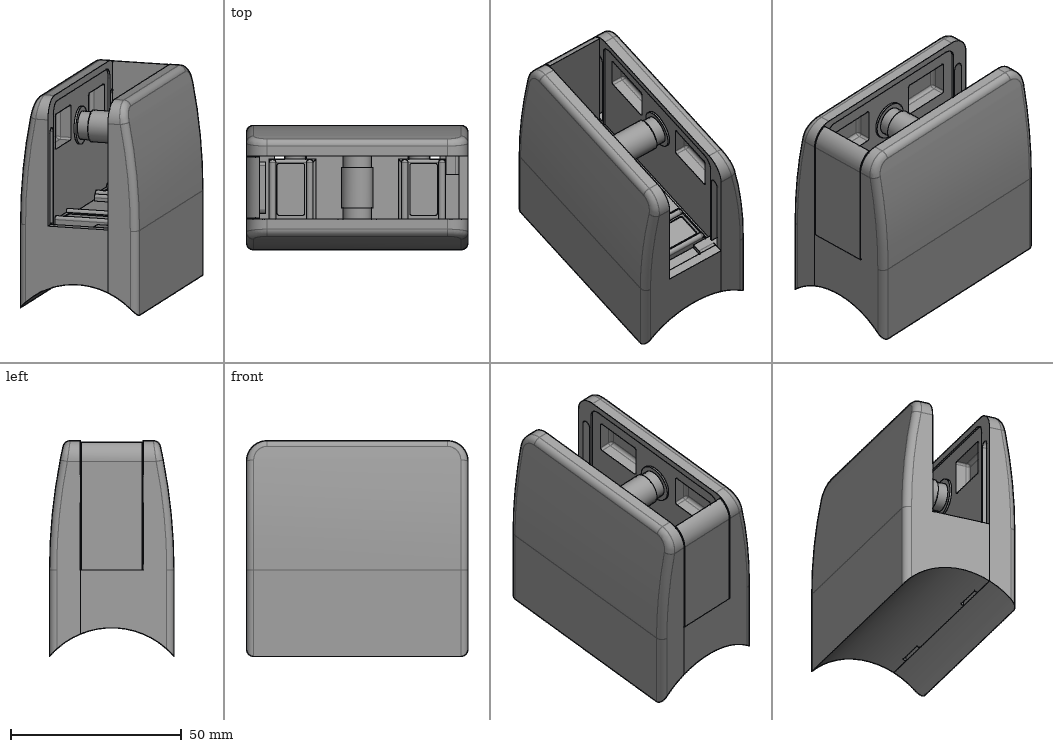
import cadquery as cq
import math

length = 65.0
depth = 36.5
height = 63.3
half_length = length / 2
half_depth = depth / 2
face_arc_start = 25.4
face_arc_radius = 166.4
top_corner_radius = 6.1
edge_fillet = 2.15
tube_radius = 24.05

channel_half_width = 9.2
floor_z = 24.1
seat_z = face_arc_start
seat_inner_x = 29.8

recess_half_length = 27.2
recess_top = 61.2
recess_depth = 0.6
recess_corner = 3.25
boss_radius = 5.6
pocket_inner_x = 8.5
pocket_outer_x = 23.6
pocket_bottom = 46.55
pocket_top = 57.0
pocket_depth = 4.2
pocket_mouth_corner = 0.65
pocket_floor_fillet = 1.05
end_slot_x = 29.1
end_slot_width = 2.8
end_slot_top = 54.2
end_slot_depth = 3.25

rod_z = 49.2
rod_radius = 4.15
rod_half_length = 12.35
sleeve_radius = 4.7
sleeve_half_length = 5.9

insert_thickness = 3.9
insert_half_width = 8.9
tongue_reach = 1.7
tongue_half_width = 7.55
tongue_height = 3.25
tongue_rounding = 1.05

pad_outer_x = 25.8
pad_inner_x = 12.1
pad_end_y = 8.3
pad_height = 1.95
pad_fillet = 1.0
bead_radius = 1.0
bead_inner_x = 13.9
bead_outer_x = pad_outer_x - bead_radius
panel_outer_x = 23.45
panel_inner_x = 15.5
panel_start_y = -8.1
panel_end_y = 7.1
panel_corner = 0.5
panel_depth = 0.3

screw_x = 18.2
screw_z = 17.55
screw_radius = 3.05
screw_base_depth = 13.0
screw_cap_depth = 3.9
notch_outer_x = 24.25
notch_inner_x = 14.95

tab_inner_x = 26.0
tab_reach = 5.3
tab_height = 1.3
tab_rounding = 1.0


def box(x_start, x_end, y_start, y_end, z_start, z_end):
    """Block between opposite corner coordinates."""
    return cq.Workplane("XY").box(
        x_end - x_start, y_end - y_start, z_end - z_start, centered=False
    ).translate((x_start, y_start, z_start))


def rod_along_y(x, z, radius, y_start, y_end):
    """Round bar parallel to Y."""
    return cq.Workplane("XZ", origin=(x, y_start, z)).circle(radius).extrude(y_start - y_end)


def clamp_outline():
    """Front outline with rounded top corners, as deep as the clamp."""
    outline = box(-half_length, half_length, -half_depth, half_depth, 0, height)
    return outline.edges("|Y and >Z").fillet(top_corner_radius)


def face_inset(z):
    """Distance that the curved outer face has moved inward at a given height."""
    rise = z - face_arc_start
    return face_arc_radius - math.sqrt(face_arc_radius ** 2 - rise ** 2)


def clamp_envelope():
    """Whole outer shape of the closed clamp, saddled on the tube."""
    middle_z = (face_arc_start + height) / 2
    middle_y = half_depth - face_inset(middle_z)
    top_y = half_depth - face_inset(height)
    side_profile = (
        cq.Workplane("YZ", origin=(-half_length, 0, 0))
        .moveTo(-half_depth, 0)
        .lineTo(half_depth, 0)
        .lineTo(half_depth, face_arc_start)
        .threePointArc((middle_y, middle_z), (top_y, height))
        .lineTo(-top_y, height)
        .threePointArc((-middle_y, middle_z), (-half_depth, face_arc_start))
        .close()
        .extrude(length)
    )
    envelope = side_profile.intersect(clamp_outline())
    envelope = envelope.faces("<Y or >Y").edges("|Z").fillet(edge_fillet)
    tube_axis_z = -math.sqrt(tube_radius ** 2 - half_depth ** 2)
    tube = (
        cq.Workplane("YZ", origin=(-half_length, 0, tube_axis_z))
        .circle(tube_radius)
        .extrude(length)
    )
    return envelope.cut(tube)


def jaw_pocket(side):
    """Rounded pocket sunk in the +Y jaw from the recess floor."""
    mouth_y = channel_half_width + recess_depth
    pocket = box(pocket_inner_x, pocket_outer_x, mouth_y, mouth_y + pocket_depth, pocket_bottom, pocket_top)
    pocket = pocket.edges("|Y").fillet(pocket_mouth_corner)
    pocket = pocket.faces(">Y").edges().fillet(pocket_floor_fillet)
    return pocket if side > 0 else pocket.mirror("YZ")


def end_slot(side):
    """Round-topped vertical slot near one end of the +Y jaw."""
    x = side * end_slot_x
    radius = end_slot_width / 2
    slot_end_y = channel_half_width + end_slot_depth
    arc_z = end_slot_top - radius
    slot = box(x - radius, x + radius, channel_half_width, slot_end_y, seat_z, arc_z)
    return slot.union(rod_along_y(x, arc_z, radius, channel_half_width, slot_end_y))


def jaw_cutters():
    """Everything removed from the inner face of the +Y jaw."""
    face_y = channel_half_width
    recess = box(-recess_half_length, recess_half_length, face_y, face_y + recess_depth, floor_z, recess_top)
    recess = recess.edges("|Y and >Z").fillet(recess_corner)
    cutters = recess.cut(rod_along_y(0, rod_z, boss_radius, face_y, face_y + recess_depth))
    for side in (-1, 1):
        cutters = cutters.union(jaw_pocket(side))
        cutters = cutters.union(end_slot(side))
    return cutters.union(rod_along_y(0, rod_z, rod_radius, face_y, rod_half_length))


def make_screw(side):
    """Assembly screw joining base and cap."""
    return rod_along_y(
        side * screw_x, screw_z, screw_radius,
        channel_half_width - screw_base_depth, channel_half_width + screw_cap_depth,
    )


def make_base(envelope):
    """Front jaw and channel floor in one piece."""
    split_y = channel_half_width
    base = envelope.intersect(box(-half_length, half_length, -half_depth, split_y, 0, height))
    base = base.cut(box(-half_length, half_length, -split_y, split_y, seat_z, height))
    base = base.cut(box(-seat_inner_x, seat_inner_x, -split_y, split_y, floor_z, height))
    for side in (-1, 1):
        notch = box(notch_inner_x, notch_outer_x, pad_end_y, split_y, 0, floor_z)
        base = base.cut(notch if side > 0 else notch.mirror("YZ"))
        base = base.cut(make_screw(side))
    return base.cut(jaw_cutters().mirror("XZ"))


def make_cap(envelope):
    """Rear jaw with its locating tab."""
    cap = envelope.intersect(box(-half_length, half_length, channel_half_width, half_depth, 0, height))
    cap = cap.cut(jaw_cutters())
    for side in (-1, 1):
        cap = cap.cut(make_screw(side))
    tab = box(
        tab_inner_x, seat_inner_x, channel_half_width - tab_reach,
        channel_half_width + recess_depth, floor_z, floor_z + tab_height,
    )
    return cap.union(tab.edges("|Y and >X and >Z").fillet(tab_rounding))


def make_insert():
    """Side wall closing the -X end, flush with the jaws, with an inner tongue."""
    inner_x = insert_thickness - half_length
    wall = clamp_outline().intersect(
        box(-half_length, inner_x, -insert_half_width, insert_half_width, seat_z, height)
    )
    tongue = box(
        inner_x, inner_x + tongue_reach, -tongue_half_width, tongue_half_width,
        seat_z, seat_z + tongue_height,
    )
    return wall.union(tongue.edges("|X and >Z").fillet(tongue_rounding))


def make_rod():
    """Clamp rod spanning the channel and seated in both jaws."""
    return rod_along_y(0, rod_z, rod_radius, -rod_half_length, rod_half_length)


def make_sleeve():
    """Sleeve around the middle of the clamp rod."""
    sleeve = rod_along_y(0, rod_z, sleeve_radius, -sleeve_half_length, sleeve_half_length)
    return sleeve.cut(make_rod())


def make_pad(side):
    """Support pad with two half-round, ball-ended beads and a shallow panel between them."""
    pad_top = floor_z + pad_height
    pad = box(pad_inner_x, pad_outer_x, -channel_half_width, pad_end_y, floor_z, pad_top)
    pad = pad.faces(">Z").edges("<X or >Y").fillet(pad_fillet)
    bead_end_y = pad_end_y - bead_radius
    for bead_x in (bead_inner_x, bead_outer_x):
        pad = pad.union(rod_along_y(bead_x, pad_top, bead_radius, -channel_half_width, bead_end_y))
        pad = pad.union(cq.Workplane("XY", origin=(bead_x, bead_end_y, pad_top)).sphere(bead_radius))
    panel = box(panel_inner_x, panel_outer_x, panel_start_y, panel_end_y, pad_top - panel_depth, pad_top)
    pad = pad.cut(panel.edges("|Z").fillet(panel_corner))
    return pad if side > 0 else pad.mirror("YZ")


envelope = clamp_envelope()
base = make_base(envelope)
cap = make_cap(envelope)
side_insert = make_insert()
rod = make_rod()
sleeve = make_sleeve()
pads = [make_pad(side) for side in (-1, 1)]
screws = [make_screw(side) for side in (-1, 1)]

result = cq.Compound.makeCompound(
    [base.val(), cap.val(), side_insert.val(), rod.val(), sleeve.val()]
    + [pad.val() for pad in pads]
    + [screw.val() for screw in screws]
)